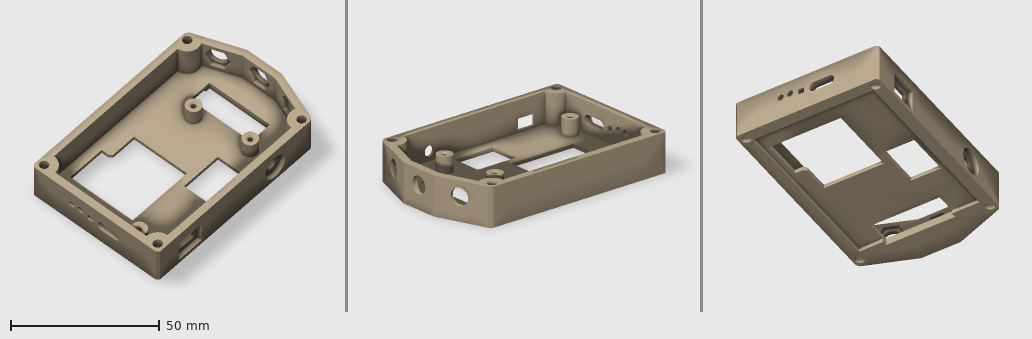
import cadquery as cq
import math

length = 86.0
width = 57.1
height = 15.0
wall = 3.0
side_wall = 2.8
floor_thickness = 3.0
half_length = length / 2
half_width = width / 2

rear_flat_half = 7.8
slope_end_y = 35.3
slope_angle = math.atan2(half_length - slope_end_y, half_width - rear_flat_half)
slope_degrees = math.degrees(slope_angle)
rear_corner_chamfer = 1.0
front_corner_chamfer = 0.95

post_diameter = 10.0
screw_diameter = 3.5
rear_post_x = 25.9
rear_post_y = 32.7
front_post_x = half_width - side_wall
front_post_y = -half_length + wall
post_centers = [
    (side * x, y)
    for side in (-1, 1)
    for x, y in ((rear_post_x, rear_post_y), (front_post_x, front_post_y))
]

standoff_centers = [(-8.4, 16.35), (15.5, 18.3), (13.7, -35.9)]
standoff_diameter = 6.0
standoff_height = 6.4
standoff_top = floor_thickness + standoff_height
pilot_diameter = 2.0
pilot_mouth_diameter = 3.0
pilot_mouth_depth = (pilot_mouth_diameter - pilot_diameter) / 2

rear_window = (-14.4, 13.0, 21.3, 31.05)
side_window = (9.2, 21.25, -8.2, 8.95)
main_window = (-17.7, 6.2, -30.9, -3.35)
main_window_step_x = -22.0
main_window_step_y = -15.0
step_chamfer = 1.0

recess_depth = floor_thickness / 2
recess_half_width = 24.0
recess_rear_y = 29.1
recess_front_y = -38.45

jack_z = 9.1
jack_diameter = 6.7
nut_corner_diameter = 10.0
nut_pocket_depth = wall / 2
side_jack_x = 17.0
side_jack_y = half_length - (side_jack_x - rear_flat_half) * math.tan(slope_angle)
right_nut_turn = 12

indicator_xs = (-10.2, -6.5)
indicator_z = 9.3
indicator_diameter = 2.5
button_x = -2.1
button_z = 8.4
button_width = 2.5
button_height = 2.15
slot_x = 6.1
slot_z = 8.2
slot_length = 9.8
slot_height = 3.9

side_hole_y = 16.35
side_hole_z = 6.6
side_hole_diameter = 4.0
side_port_y = -26.7
side_port_z = 6.0
side_port_width = 7.1
side_port_height = 4.3
side_port_margin = 2.15
side_hole_recess_diameter = 10.0
side_recess_web = 1.0
side_recess_depth = side_wall - side_recess_web


def pointed_outline(inset, side_inset):
    """Plan outline of the case, moved inward by the inset (side_inset at the long sides)."""
    side = half_width - side_inset
    flat_half = rear_flat_half - inset * math.tan(slope_angle / 2)
    rear = half_length - inset
    shoulder = rear - (side - flat_half) * math.tan(slope_angle)
    return (
        cq.Workplane("XY")
        .moveTo(-side, -rear)
        .lineTo(side, -rear)
        .lineTo(side, shoulder)
        .lineTo(flat_half, rear)
        .lineTo(-flat_half, rear)
        .lineTo(-side, shoulder)
        .close()
    )


def floor_box(bounds, depth):
    """Upright box from the underside, over (x min, x max, y min, y max)."""
    x_min, x_max, y_min, y_max = bounds
    return (
        cq.Workplane("XY")
        .box(x_max - x_min, y_max - y_min, depth, centered=False)
        .translate((x_min, y_min, 0))
    )


def make_shell():
    """Open tray with thick corner posts."""
    rear_corners = cq.selectors.BoxSelector(
        (-width, slope_end_y - rear_corner_chamfer, 0),
        (width, slope_end_y + rear_corner_chamfer, height),
    )
    body = pointed_outline(0, 0).extrude(height)
    body = body.edges("|Z and <Y").chamfer(front_corner_chamfer)
    body = body.edges(rear_corners).chamfer(rear_corner_chamfer)
    posts = (
        cq.Workplane("XY", origin=(0, 0, floor_thickness))
        .pushPoints(post_centers)
        .circle(post_diameter / 2)
        .extrude(height)
    )
    cavity = pointed_outline(wall, side_wall).extrude(height).translate((0, 0, floor_thickness))
    return body.cut(cavity.cut(posts))


def make_standoffs():
    return (
        cq.Workplane("XY", origin=(0, 0, floor_thickness))
        .pushPoints(standoff_centers)
        .circle(standoff_diameter / 2)
        .extrude(standoff_height)
    )


def make_main_window():
    """Main window with a stepped side and one chamfered inner corner."""
    x_min, x_max, y_min, y_max = main_window
    return (
        cq.Workplane("XY")
        .moveTo(x_max, y_min)
        .lineTo(x_max, y_max)
        .lineTo(x_min, y_max)
        .lineTo(x_min, main_window_step_y + step_chamfer)
        .lineTo(x_min - step_chamfer, main_window_step_y)
        .lineTo(main_window_step_x, main_window_step_y)
        .lineTo(main_window_step_x, y_min)
        .close()
        .extrude(floor_thickness)
    )


def make_jack_cut(x, y, turn, nut_turn=0):
    """Jack hole through a rear face at (x, y), with a nut pocket on the inside.

    turn swings the cut about Z onto its face; nut_turn turns the hexagon about the jack axis.
    """
    plane = cq.Plane(origin=(0, 0, 0), xDir=(1, 0, 0), normal=(0, -1, 0))
    hole = cq.Workplane(plane).circle(jack_diameter / 2).extrude(2 * wall, both=True)
    pocket = (
        cq.Workplane(plane)
        .workplane(offset=wall - nut_pocket_depth)
        .polygon(6, nut_corner_diameter)
        .extrude(nut_pocket_depth)
        .rotate((0, 0, 0), (0, 1, 0), nut_turn)
    )
    cut = hole.union(pocket)
    return cut.rotate((0, 0, 0), (0, 0, 1), turn).translate((x, y, jack_z))


def make_front_cuts():
    """Indicator holes, square button hole and connector slot in the front wall."""
    front = cq.Workplane("XZ", origin=(0, -half_length, 0))
    indicators = (
        front.pushPoints([(x, indicator_z) for x in indicator_xs])
        .circle(indicator_diameter / 2)
        .extrude(-wall)
    )
    button = front.center(button_x, button_z).rect(button_width, button_height).extrude(-wall)
    slot = front.center(slot_x, slot_z).slot2D(slot_length, slot_height).extrude(-wall)
    return indicators.union(button).union(slot)


def make_side_cuts():
    """Round hole and rectangular port in the +X wall, each in a wider recess from outside."""
    side = cq.Workplane("YZ", origin=(half_width, 0, 0))
    hole_place = side.center(side_hole_y, side_hole_z)
    port_place = side.center(side_port_y, side_port_z)
    hole = hole_place.circle(side_hole_diameter / 2).extrude(-side_wall)
    hole_recess = hole_place.circle(side_hole_recess_diameter / 2).extrude(-side_recess_depth)
    port = port_place.rect(side_port_width, side_port_height).extrude(-side_wall)
    port_recess = port_place.rect(
        side_port_width + 2 * side_port_margin, side_port_height + 2 * side_port_margin
    ).extrude(-side_recess_depth)
    return hole.union(hole_recess).union(port).union(port_recess)


result = make_shell().union(make_standoffs())

result = result.cut(
    floor_box((-recess_half_width, recess_half_width, recess_front_y, recess_rear_y), recess_depth)
)
for window in (rear_window, side_window):
    result = result.cut(floor_box(window, floor_thickness))
result = result.cut(make_main_window())

result = result.cut(
    cq.Workplane("XY").pushPoints(post_centers).circle(screw_diameter / 2).extrude(height)
)

result = result.cut(
    cq.Workplane("XY", origin=(0, 0, floor_thickness))
    .pushPoints(standoff_centers)
    .circle(pilot_diameter / 2)
    .extrude(standoff_height)
)
for x, y in standoff_centers:
    mouth = cq.Solid.makeCone(
        pilot_diameter / 2,
        pilot_mouth_diameter / 2,
        pilot_mouth_depth,
        pnt=cq.Vector(x, y, standoff_top - pilot_mouth_depth),
    )
    result = result.cut(cq.Workplane(mouth))

result = result.cut(make_jack_cut(0, half_length, 0))
result = result.cut(make_jack_cut(-side_jack_x, side_jack_y, slope_degrees))
result = result.cut(make_jack_cut(side_jack_x, side_jack_y, -slope_degrees, right_nut_turn))

result = result.cut(make_front_cuts()).cut(make_side_cuts())